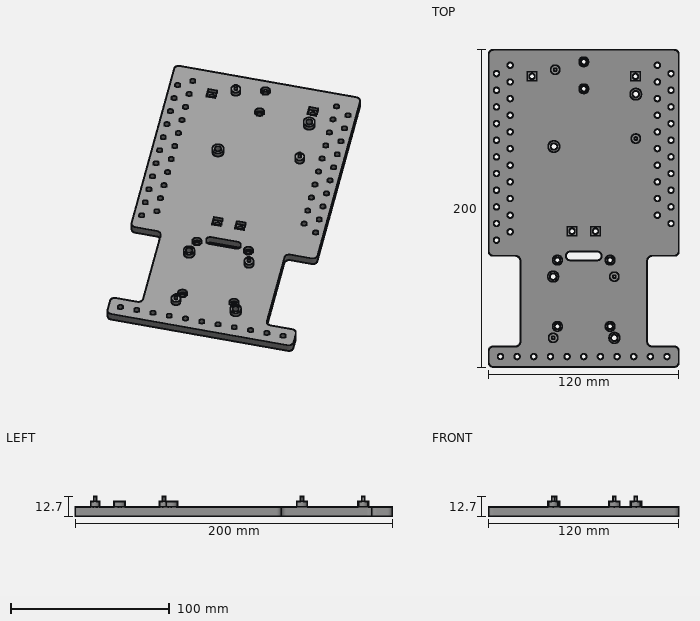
import cadquery as cq

plate_length = 200
plate_width = 120
plate_thickness = 6
waist_width = 80
shoulder_y = -30
bar_depth = 13.0
corner_radius = 3.0

grid_hole_diameter = 3.5
row_count = 11
row_span = 105.0
grid_pitch = row_span / (row_count - 1)
inner_column_x = 46.5
outer_column_x = 55.0
inner_column_top_y = 90.2
outer_column_top_y = inner_column_top_y - grid_pitch / 2
bar_row_y = -93.5

slot_length = 22.5
slot_width = 5.5
slot_corner_radius = 2.5
slot_y = shoulder_y

screw_hole_diameter = 3.5
recess_depth = 3.0
round_recess_diameter = 6
square_recess_side = 5.8
round_recess_points = [
    (0, 92.5),
    (0, 75.5),
    (-16.5, -32.5),
    (16.5, -32.5),
    (-16.5, -74.5),
    (16.5, -74.5),
]
square_recess_points = [(-32.5, 83.2), (32.5, 83.2), (-7.5, -14.5), (7.5, -14.5)]

standoff_height = 3.5
pin_height = 3.2
pin_diameter = 2
pin_standoff_diameter = 5.8
standoff_bore = 4
head_standoff_diameter = 7.2
waist_standoff_diameter = 6.8
waist_board_pitch = 38.5
waist_board_x = waist_board_pitch / 2
waist_board_back_y = -43.0
waist_board_front_y = waist_board_back_y - waist_board_pitch
pin_standoff_points = [
    (-18, 87.5),
    (32.8, 44),
    (waist_board_x, waist_board_back_y),
    (-waist_board_x, waist_board_front_y),
]
head_standoff_points = [(32.8, 72), (-18.8, 39.0)]
waist_standoff_points = [
    (-waist_board_x, waist_board_back_y),
    (waist_board_x, waist_board_front_y),
]


def base_plate():
    """Plate with a rectangular notch in each long side and all corners rounded."""
    notch_depth = (plate_width - waist_width) / 2
    notch_bottom = -plate_length / 2 + bar_depth
    notch_length = shoulder_y - notch_bottom
    notch_x = (plate_width - notch_depth) / 2
    notch_y = (shoulder_y + notch_bottom) / 2
    plate = cq.Workplane("XY").rect(plate_width, plate_length).extrude(plate_thickness)
    notches = (
        cq.Workplane("XY")
        .pushPoints([(-notch_x, notch_y), (notch_x, notch_y)])
        .rect(notch_depth, notch_length)
        .extrude(plate_thickness)
    )
    return plate.cut(notches).edges("|Z").fillet(corner_radius)


def cylinders(points, diameter, bottom, height):
    """Upright cylinders of one size at the given points."""
    return (
        cq.Workplane("XY", origin=(0, 0, bottom))
        .pushPoints(points)
        .circle(diameter / 2)
        .extrude(height)
    )


def column(x, top_y, count):
    """Points running down from top_y at the grid pitch."""
    return [(x, top_y - i * grid_pitch) for i in range(count)]


def grid_points():
    """Two staggered columns per side, one hole shorter on the right, and the bar row."""
    points = [(-row_span / 2 + i * grid_pitch, bar_row_y) for i in range(row_count)]
    for side, count in ((-1, row_count), (1, row_count - 1)):
        points += column(side * inner_column_x, inner_column_top_y, count)
        points += column(side * outer_column_x, outer_column_top_y, count)
    return points


def cable_slot():
    return (
        cq.Workplane("XY")
        .center(0, slot_y)
        .rect(slot_length, slot_width)
        .extrude(plate_thickness)
        .edges("|Z")
        .fillet(slot_corner_radius)
    )


def square_recesses():
    return (
        cq.Workplane("XY", origin=(0, 0, plate_thickness - recess_depth))
        .pushPoints(square_recess_points)
        .rect(square_recess_side, square_recess_side)
        .extrude(recess_depth)
    )


standoff_top = plate_thickness + standoff_height
bored_points = head_standoff_points + waist_standoff_points
screw_points = round_recess_points + square_recess_points

result = (
    base_plate()
    .union(cylinders(head_standoff_points, head_standoff_diameter, plate_thickness, standoff_height))
    .union(cylinders(waist_standoff_points, waist_standoff_diameter, plate_thickness, standoff_height))
    .union(cylinders(pin_standoff_points, pin_standoff_diameter, plate_thickness, standoff_height))
    .union(cylinders(pin_standoff_points, pin_diameter, standoff_top, pin_height))
    .cut(cylinders(grid_points(), grid_hole_diameter, 0, plate_thickness))
    .cut(cylinders(screw_points, screw_hole_diameter, 0, plate_thickness))
    .cut(cylinders(round_recess_points, round_recess_diameter, plate_thickness - recess_depth, recess_depth))
    .cut(square_recesses())
    .cut(cylinders(bored_points, standoff_bore, 0, standoff_top))
    .cut(cable_slot())
)